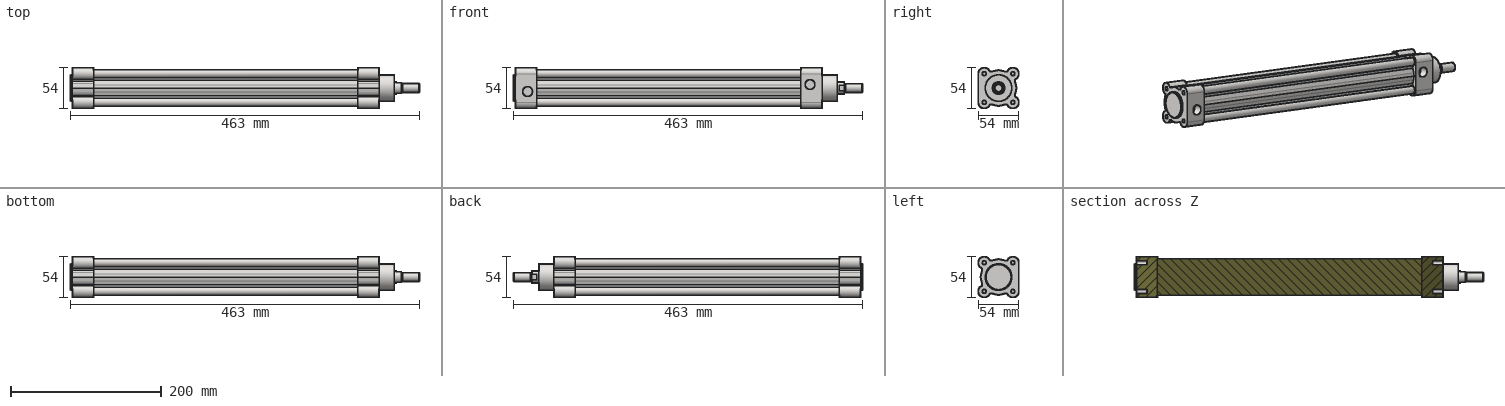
import cadquery as cq
import math


total_length = 463.0
cap_length = 28.2
rear_spigot_length = 3.0
barrel_length = 350.0
front_collar_length = 20.0

rear_cap_start = rear_spigot_length
barrel_start = rear_cap_start + cap_length
front_cap_start = barrel_start + barrel_length
front_cap_end = front_cap_start + cap_length
front_collar_end = front_cap_end + front_collar_length

cap_size = 54.0
bolt_spacing = 38.0
bolt_offset = bolt_spacing / 2
cap_lobe_radius = cap_size / 2 - bolt_offset
barrel_lobe_radius = 10.5 / 2

cap_crest = (0, 24.0)
cap_shoulder = (6.5, 22.5)
cap_valley = (9.3, 21.8)
cap_lobe_foot = (12.5, 22.0)
cap_side = [cap_crest, cap_shoulder, cap_valley, cap_lobe_foot]
barrel_crest = (0, 23.0)
barrel_shoulder = (4.5, 22.0)
barrel_valley = (10.0, 20.5)
barrel_lobe_flank = bolt_offset - barrel_lobe_radius
barrel_lobe_foot = (barrel_lobe_flank, 21.0)
barrel_lobe_side = (barrel_lobe_flank, bolt_offset)
barrel_side = [barrel_crest, barrel_shoulder, barrel_valley, barrel_lobe_foot, barrel_lobe_side]

spigot_diameter = 35.0
spigot_chamfer = 1.0
bolt_hole_diameter = 5.0
bolt_hole_depth = 14.0
port_diameter = 13.0
port_depth = 14.0
port_from_barrel = 12.0
port_height = 4.5

rod_diameter = 16.0
flats_start = 432.0
rod_shoulder = 438.5
undercut_length = 1.0
flats_width = 14.5
thread_diameter = 12.0
thread_chamfer = 1.15

bolt_centres = [(y, z) for y in (-bolt_offset, bolt_offset) for z in (-bolt_offset, bolt_offset)]


def section_plane(x):
    """Plane across the cylinder axis, with local axes Y and Z and normal +X."""
    return cq.Workplane("YZ", origin=(x, 0, 0))


def ridged_outline(half_side):
    """Closed outline of four equal ridged sides that meet at the bolt centres."""
    mirrored = [(-along, out) for along, out in half_side[:0:-1]]
    side = [(-bolt_offset, bolt_offset)] + mirrored + half_side
    outline = []
    for quarter in range(4):
        turn = -quarter * math.pi / 2
        for along, out in side:
            y = along * math.cos(turn) - out * math.sin(turn)
            z = along * math.sin(turn) + out * math.cos(turn)
            outline.append((y, z))
    return outline


def lobed_bar(start, length, half_side, lobe_radius):
    """Bar with four ridged sides and a round lobe along each corner."""
    core = section_plane(start).polyline(ridged_outline(half_side)).close().extrude(length)
    lobes = section_plane(start).pushPoints(bolt_centres).circle(lobe_radius).extrude(length)
    return core.union(lobes)


def cap_block(start, port_x, port_z):
    """Cap with a flat -Y side that carries the air port."""
    block = lobed_bar(start, cap_length, cap_side, cap_lobe_radius)
    flat_side = (
        section_plane(start)
        .center(-bolt_offset - cap_lobe_radius / 2, 0)
        .rect(cap_lobe_radius, bolt_spacing)
        .extrude(cap_length)
    )
    port = (
        cq.Workplane("XZ", origin=(port_x, -cap_size / 2, port_z))
        .circle(port_diameter / 2)
        .extrude(-port_depth)
    )
    return block.union(flat_side).cut(port)


def bolt_holes(face_x, depth):
    """Four blind bolt holes; a negative depth runs toward -X."""
    return section_plane(face_x).pushPoints(bolt_centres).circle(bolt_hole_diameter / 2).extrude(depth)


def make_rear_cap():
    cap = cap_block(rear_cap_start, barrel_start - port_from_barrel, -port_height)
    spigot = (
        section_plane(0)
        .circle(spigot_diameter / 2)
        .extrude(rear_spigot_length)
        .faces("<X")
        .chamfer(spigot_chamfer)
    )
    return cap.union(spigot).cut(bolt_holes(rear_cap_start, bolt_hole_depth))


def make_barrel():
    return lobed_bar(barrel_start, barrel_length, barrel_side, barrel_lobe_radius)


def make_front_cap():
    cap = cap_block(front_cap_start, front_cap_start + port_from_barrel, port_height)
    collar = section_plane(front_cap_end).circle(spigot_diameter / 2).extrude(front_collar_length)
    rod_bore = (
        section_plane(front_cap_start)
        .circle(rod_diameter / 2)
        .extrude(front_collar_end - front_cap_start)
    )
    return cap.union(collar).cut(rod_bore).cut(bolt_holes(front_cap_end, -bolt_hole_depth))


def make_piston_rod():
    shaft = (
        section_plane(front_cap_start)
        .circle(rod_diameter / 2)
        .extrude(rod_shoulder - front_cap_start)
    )
    flats_length = rod_shoulder - flats_start
    flats_band = section_plane(flats_start).circle(rod_diameter).extrude(flats_length)
    kept_between_flats = section_plane(flats_start).rect(flats_width, 2 * rod_diameter).extrude(flats_length)
    undercut_radius = thread_diameter / 2 - thread_chamfer
    undercut = section_plane(rod_shoulder).circle(undercut_radius).extrude(undercut_length)
    thread_start = rod_shoulder + undercut_length
    thread = (
        section_plane(thread_start)
        .circle(thread_diameter / 2)
        .extrude(total_length - thread_start)
        .edges("%CIRCLE")
        .chamfer(thread_chamfer)
    )
    return shaft.cut(flats_band.cut(kept_between_flats)).union(undercut).union(thread)


rear_cap = make_rear_cap()
barrel = make_barrel()
front_cap = make_front_cap()
piston_rod = make_piston_rod()

result = cq.Compound.makeCompound(
    [rear_cap.val(), barrel.val(), front_cap.val(), piston_rod.val()]
)